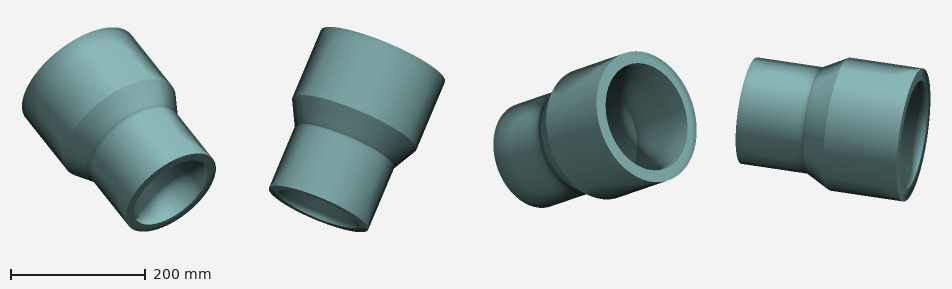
import cadquery as cq

total_length = 252.0
large_length = 112.0
small_length = 102.0

large_outer_diameter = 200.0
large_bore_diameter = 163.6
small_outer_diameter = 160.0
small_bore_diameter = 130.8

cone_start = large_length
cone_end = total_length - small_length


def reducer_body(large_diameter, small_diameter):
    """Solid of revolution about X: large cylinder, cone, small cylinder."""
    large_radius = large_diameter / 2
    small_radius = small_diameter / 2
    half_profile = (
        cq.Workplane("XY")
        .moveTo(0, 0)
        .lineTo(0, large_radius)
        .lineTo(cone_start, large_radius)
        .lineTo(cone_end, small_radius)
        .lineTo(total_length, small_radius)
        .lineTo(total_length, 0)
        .close()
    )
    return half_profile.revolve(360, (0, 0, 0), (1, 0, 0))


outside = reducer_body(large_outer_diameter, small_outer_diameter)
bore = reducer_body(large_bore_diameter, small_bore_diameter)

result = outside.cut(bore)